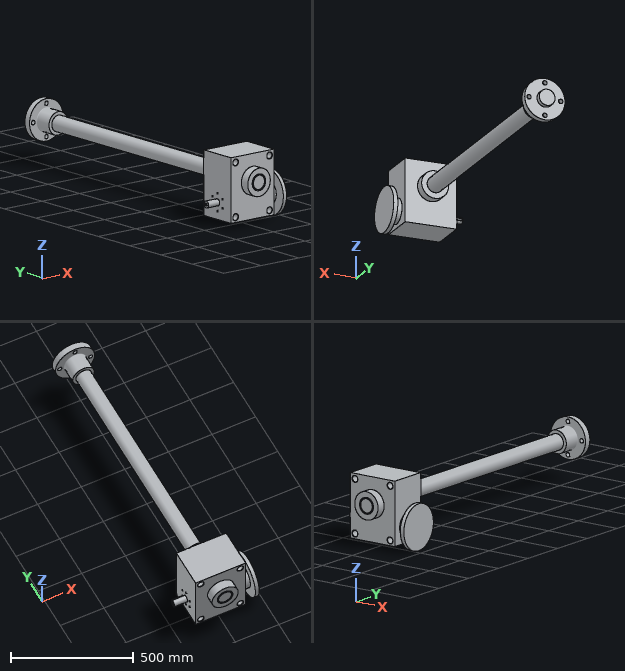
import cadquery as cq
import math

SCREW_LENGTH = 1411.0
SCREW_DIAMETER = 70.0
SCREW_TIP_DIAMETER = 60.0
SCREW_TIP_LENGTH = 1.0

HOUSING_WIDTH = 230.0
HOUSING_DEPTH = 175.0
HOUSING_HEIGHT = 278.0
SCREW_BELOW_TOP = 114.0
BOSS_DIAMETER = 120.0
FRONT_BOSS_LENGTH = 41.0
BACK_BOSS_LENGTH = 42.0

MOUNT_HOLE_DIAMETER = 27.0
MOUNT_HOLE_MOUTH_DIAMETER = 30.0
MOUNT_HOLE_SPACING_X = 180.0
MOUNT_HOLE_SPACING_Z = 231.0
MOUNT_HOLE_DEPTH = 42.0
DRILL_POINT_ANGLE = 118.0

SHAFT_BELOW_SCREW = 90.0
SHAFT_DIAMETER = 30.0
SHAFT_LENGTH = 59.0
SHAFT_SEAT_DEPTH = 42.0
SHAFT_HOLE_DIAMETER = 8.3
SHAFT_HOLE_MOUTH_DIAMETER = 11.0
SHAFT_HOLE_DEPTH = 21.0
MOTOR_NECK_DIAMETER = 110.0
MOTOR_NECK_LENGTH = 38.0
MOTOR_FLANGE_DIAMETER = 200.0
MOTOR_FLANGE_THICKNESS = 18.0

COVER_HOLE_COUNT = 6
COVER_HOLE_DIAMETER = 6.6
COVER_HOLE_CIRCLE_DIAMETER = 75.0
COVER_HOLE_DEPTH = 14.0

KEY_LENGTH = 51.0
KEY_WIDTH = 8.0
KEY_HEIGHT = 7.0
KEY_PROTRUSION = 3.0

NUT_BODY_DIAMETER = 100.0
NUT_BODY_LENGTH = 76.0
NUT_FLANGE_DIAMETER = 180.0
NUT_FLANGE_THICKNESS = 31.0
NUT_FLANGE_END = 1388.0
NUT_ROOT_FILLET = 3.0
NUT_HOLE_COUNT = 4
NUT_HOLE_DIAMETER = 18.0
NUT_HOLE_CIRCLE_DIAMETER = 141.0

housing_left = -HOUSING_WIDTH / 2
housing_right = HOUSING_WIDTH / 2
housing_front = FRONT_BOSS_LENGTH
housing_back = housing_front + HOUSING_DEPTH
housing_middle_y = (housing_front + housing_back) / 2
housing_middle_z = SCREW_BELOW_TOP - HOUSING_HEIGHT / 2
shaft_left = housing_left - SHAFT_LENGTH
nut_flange_start = NUT_FLANGE_END - NUT_FLANGE_THICKNESS
nut_start = nut_flange_start - NUT_BODY_LENGTH


def cylinder_y(diameter, start, end, x=0, z=0):
    """Cylinder along +Y between two Y positions."""
    base = cq.Vector(x, start, z)
    return cq.Workplane(cq.Solid.makeCylinder(diameter / 2, end - start, base, cq.Vector(0, 1, 0)))


def cylinder_x(diameter, start, end, y=housing_middle_y, z=-SHAFT_BELOW_SCREW):
    """Cylinder along +X between two X positions, on the shaft axis by default."""
    base = cq.Vector(start, y, z)
    return cq.Workplane(cq.Solid.makeCylinder(diameter / 2, end - start, base, cq.Vector(1, 0, 0)))


def drilled_hole(diameter, mouth_diameter, depth):
    """Hole cutter along +Z from the origin, with a chamfered mouth and a drill point."""
    radius = diameter / 2
    mouth_radius = mouth_diameter / 2
    point_length = radius / math.tan(math.radians(DRILL_POINT_ANGLE / 2))
    profile = [
        (0, 0),
        (mouth_radius, 0),
        (radius, mouth_radius - radius),
        (radius, depth),
        (0, depth + point_length),
    ]
    return cq.Workplane("XZ").polyline(profile).close().revolve(360, (0, 0), (0, 1))


def make_key():
    """Square-ended key let into the back of the input shaft."""
    outer_y = housing_middle_y + SHAFT_DIAMETER / 2 + KEY_PROTRUSION
    middle_x = housing_left - SHAFT_LENGTH / 2
    key = cq.Workplane("XY").box(KEY_LENGTH, KEY_HEIGHT, KEY_WIDTH)
    return key.translate((middle_x, outer_y - KEY_HEIGHT / 2, -SHAFT_BELOW_SCREW))


def make_input_shaft(key):
    """Input shaft with a keyway and a drilled centre hole in its end."""
    shaft = cylinder_x(SHAFT_DIAMETER, shaft_left, housing_left + SHAFT_SEAT_DEPTH)
    hole = drilled_hole(SHAFT_HOLE_DIAMETER, SHAFT_HOLE_MOUTH_DIAMETER, SHAFT_HOLE_DEPTH)
    hole = hole.rotate((0, 0, 0), (0, 1, 0), 90)
    hole = hole.translate((shaft_left, housing_middle_y, -SHAFT_BELOW_SCREW))
    return shaft.cut(key).cut(hole)


def make_screw():
    """Plain screw with a short reduced tip at the front."""
    tip = cylinder_y(SCREW_TIP_DIAMETER, 0, SCREW_TIP_LENGTH)
    return cylinder_y(SCREW_DIAMETER, SCREW_TIP_LENGTH, SCREW_LENGTH).union(tip)


def make_housing():
    """Housing block with screw bosses, motor flange, mounting holes and cover holes."""
    housing = cq.Workplane("XY").box(HOUSING_WIDTH, HOUSING_DEPTH, HOUSING_HEIGHT)
    housing = housing.translate((0, housing_middle_y, housing_middle_z))

    boss_end = housing_back + BACK_BOSS_LENGTH
    housing = housing.union(cylinder_y(BOSS_DIAMETER, 0, boss_end))

    neck_end = housing_right + MOTOR_NECK_LENGTH
    flange_end = neck_end + MOTOR_FLANGE_THICKNESS
    housing = housing.union(cylinder_x(MOTOR_NECK_DIAMETER, housing_right, neck_end))
    housing = housing.union(cylinder_x(MOTOR_FLANGE_DIAMETER, neck_end, flange_end))

    housing = housing.cut(cylinder_y(SCREW_DIAMETER, 0, boss_end))
    housing = housing.cut(cylinder_x(SHAFT_DIAMETER, housing_left, housing_left + SHAFT_SEAT_DEPTH))

    mount_hole = drilled_hole(MOUNT_HOLE_DIAMETER, MOUNT_HOLE_MOUTH_DIAMETER, MOUNT_HOLE_DEPTH)
    mount_hole = mount_hole.rotate((0, 0, 0), (1, 0, 0), -90)
    for side_x in (-1, 1):
        for side_z in (-1, 1):
            x = side_x * MOUNT_HOLE_SPACING_X / 2
            z = housing_middle_z + side_z * MOUNT_HOLE_SPACING_Z / 2
            housing = housing.cut(mount_hole.translate((x, housing_front, z)))

    for index in range(COVER_HOLE_COUNT):
        angle = 2 * math.pi * index / COVER_HOLE_COUNT
        y = housing_middle_y + COVER_HOLE_CIRCLE_DIAMETER / 2 * math.sin(angle)
        z = -SHAFT_BELOW_SCREW + COVER_HOLE_CIRCLE_DIAMETER / 2 * math.cos(angle)
        hole = cylinder_x(COVER_HOLE_DIAMETER, housing_left, housing_left + COVER_HOLE_DEPTH, y, z)
        housing = housing.cut(hole)
    return housing


def make_nut():
    """Flanged nut with a filleted root and a ring of through holes."""
    nut = cylinder_y(NUT_FLANGE_DIAMETER, nut_flange_start, NUT_FLANGE_END)
    nut = nut.union(cylinder_y(NUT_BODY_DIAMETER, nut_start, nut_flange_start))
    root_edge = cq.selectors.RadiusNthSelector(0)
    nut = nut.faces("<Y[1]").edges(root_edge).fillet(NUT_ROOT_FILLET)
    nut = nut.cut(cylinder_y(SCREW_DIAMETER, nut_start, NUT_FLANGE_END))
    for index in range(NUT_HOLE_COUNT):
        angle = 2 * math.pi * index / NUT_HOLE_COUNT
        x = NUT_HOLE_CIRCLE_DIAMETER / 2 * math.cos(angle)
        z = NUT_HOLE_CIRCLE_DIAMETER / 2 * math.sin(angle)
        nut = nut.cut(cylinder_y(NUT_HOLE_DIAMETER, nut_flange_start, NUT_FLANGE_END, x, z))
    return nut


key = make_key()
input_shaft = make_input_shaft(key)
screw = make_screw()
housing = make_housing()
nut = make_nut()

result = cq.Compound.makeCompound([housing.val(), input_shaft.val(), key.val(), screw.val(), nut.val()])